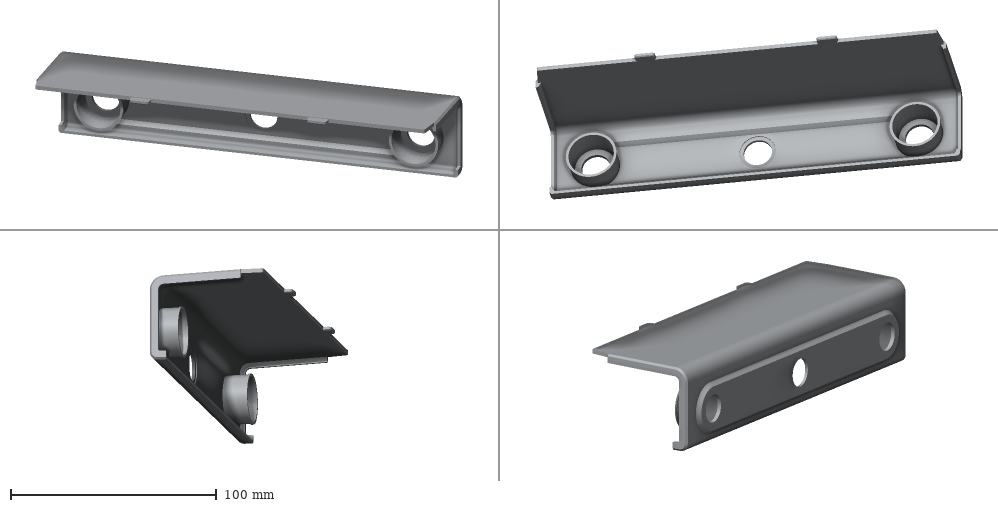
import cadquery as cq
import math

LENGTH = 202.81
OVERALL_DEPTH = 62.0
OVERALL_HEIGHT = 43.46
SHEET = 2.0

BOSS_HEIGHT = 2.0
WALL_BACK = -BOSS_HEIGHT
FLANGE_SLOPE = math.tan(math.radians(2))
TOP_BEND_RADIUS = 7.0
BOTTOM_BEND_RADIUS = 4.0
SMALLEST_INNER_RADIUS = 0.5

LIP_FRONT = -10.2
LIP_SLOPE = math.tan(math.radians(6))
RIM_FRONT = -47.2
RIM_WIDTH = 2.7
RIM_THICKNESS = 4.4
RIM_BEVEL_WIDTH = 1.2
RIM_BEVEL_DEPTH = 1.9
END_CHAMFER = 1.0

TIP_FRONT = -58.0
TIP_BACK_INSET = 1.2
TIP_FRONT_INSET = 2.6
TIP_CORNER_RADIUS = 1.0

TAB_SPACING = 90.0
TAB_WIDTH = 10.0
TAB_ROOT_OVERLAP = 1.0
TAB_CORNER_RADIUS = 1.5
TAB_BOTTOM_CHAMFER = 0.5
TAB_STEP = 0.3

HOLE_Z = 17.6
HOLE_RADIUS = 7.0
CUP_SPACING = 160.0
BOSS_RADIUS = 13.0
EMBOSS_ANGLE = 45.0
CUP_RADIUS = 12.0
CUP_MOUTH_RADIUS = 11.2
CUP_FRONT = -14.3
CUP_ROOT = -1.5
CUP_LIP_RADIUS = 12.5
CUP_LIP_DEPTH = 1.0
COUNTERBORE_RADIUS = 9.0
COUNTERBORE_DEPTH = 0.5

TIP_BACK_WIDTH = LENGTH - 2 * TIP_BACK_INSET
TIP_FRONT_WIDTH = LENGTH - 2 * TIP_FRONT_INSET
VERTICAL_PER_THICKNESS = math.sqrt(1 + FLANGE_SLOPE**2)
FLANGE_DROP = SHEET * VERTICAL_PER_THICKNESS
FAR_FRONT = -1.2 * OVERALL_DEPTH
POCKET_RADIUS = BOSS_RADIUS - SHEET * math.tan(math.radians(EMBOSS_ANGLE / 2))
POCKET_FLOOR_RADIUS = POCKET_RADIUS - BOSS_HEIGHT * math.tan(math.radians(EMBOSS_ANGLE))


def flange_top(y):
    """Height of the sloping top surface at Y = y."""
    return OVERALL_HEIGHT - (y - TIP_FRONT) * FLANGE_SLOPE


def bent_block(depth, lip_slope, width):
    """Solid bounded by the bent sheet's outer surface moved inward by `depth`, open to the front."""
    back = WALL_BACK - depth
    drop = depth * VERTICAL_PER_THICKNESS
    outline = [
        (back, depth),
        (back, flange_top(back) - drop),
        (FAR_FRONT, flange_top(FAR_FRONT) - drop),
        (FAR_FRONT, depth + (FAR_FRONT - back) * lip_slope),
    ]
    block = cq.Workplane("YZ").polyline(outline).close().extrude(width / 2, both=True)
    block = block.edges("|X and >Y").edges(">Z").fillet(TOP_BEND_RADIUS - depth)
    bottom_radius = max(BOTTOM_BEND_RADIUS - depth, SMALLEST_INNER_RADIUS)
    return block.edges("|X and >Y").edges("<Z").fillet(bottom_radius)


def front_cut(y, z_low, z_high):
    """Block removing everything ahead of Y = y between two heights."""
    return cq.Workplane("XY").box(
        LENGTH, y - FAR_FRONT, z_high - z_low, centered=(True, False, False)
    ).translate((0, FAR_FRONT, z_low))


def bracket():
    """Bent sheet with a lip below, a sloping flange above and thickened rims at both ends."""
    block = bent_block(0, 0, LENGTH).faces("<X or >X").chamfer(END_CHAMFER)
    block = block.cut(bent_block(RIM_THICKNESS, LIP_SLOPE, LENGTH))
    recess = bent_block(SHEET, LIP_SLOPE, LENGTH - 2 * (RIM_WIDTH - RIM_BEVEL_WIDTH))
    block = block.cut(recess.faces("<X or >X").chamfer(RIM_BEVEL_WIDTH, RIM_BEVEL_DEPTH))
    middle = OVERALL_HEIGHT / 2
    block = block.cut(front_cut(LIP_FRONT, -OVERALL_HEIGHT, middle))
    return block.cut(front_cut(RIM_FRONT, middle, 2 * OVERALL_HEIGHT))


def flange_slab():
    """Full-length slab of sheet thickness continuing the sloping flange ahead of the rims."""
    outline = [
        (RIM_FRONT, flange_top(RIM_FRONT)),
        (TIP_FRONT, OVERALL_HEIGHT),
        (TIP_FRONT, OVERALL_HEIGHT - FLANGE_DROP),
        (RIM_FRONT, flange_top(RIM_FRONT) - FLANGE_DROP),
    ]
    return cq.Workplane("YZ").polyline(outline).close().extrude(LENGTH / 2, both=True)


def flange_tip():
    """Tapered front part of the flange ahead of the rims."""
    outline = [
        (-TIP_BACK_WIDTH / 2, RIM_FRONT),
        (TIP_BACK_WIDTH / 2, RIM_FRONT),
        (TIP_FRONT_WIDTH / 2, TIP_FRONT),
        (-TIP_FRONT_WIDTH / 2, TIP_FRONT),
    ]
    plan = cq.Workplane("XY").polyline(outline).close().extrude(2 * OVERALL_HEIGHT)
    plan = plan.edges("|Z and <Y").fillet(TIP_CORNER_RADIUS)
    return plan.intersect(flange_slab())


def tab(x):
    """Level tab on the front edge of the flange, with rounded corners and a chamfered underside."""
    root = TIP_FRONT + TAB_ROOT_OVERLAP
    bottom = OVERALL_HEIGHT - FLANGE_DROP
    block = cq.Workplane("XY").box(
        TAB_WIDTH, root + OVERALL_DEPTH, FLANGE_DROP - TAB_STEP, centered=(True, False, False)
    ).translate((x, -OVERALL_DEPTH, bottom))
    return block.edges("|Z and <Y").fillet(TAB_CORNER_RADIUS).faces("<Z").chamfer(TAB_BOTTOM_CHAMFER)


def wall_plane(y, x=0.0):
    """Workplane across the wall at Y = y, centred on the hole line, facing the rear (+Y)."""
    return cq.Workplane("XZ", origin=(x, y, HOLE_Z)).transformed(rotate=(0, 180, 0))


def emboss(y, radius):
    """Long strip with round ends, narrowing toward the rear with 45-degree sides."""
    strip = wall_plane(y).slot2D(CUP_SPACING + 2 * radius, 2 * radius)
    return strip.extrude(BOSS_HEIGHT, taper=EMBOSS_ANGLE)


def cup(x):
    """Round collar standing on the wall toward the front, with a small lip at its mouth."""
    collar = wall_plane(CUP_FRONT, x).circle(CUP_RADIUS).extrude(CUP_ROOT - CUP_FRONT)
    return collar.union(wall_plane(CUP_FRONT, x).circle(CUP_LIP_RADIUS).extrude(CUP_LIP_DEPTH))


def cup_bore(x):
    """Inside of a collar, narrowing from its mouth to the edge of the embossed floor."""
    depth = -SHEET - CUP_FRONT
    draft = math.degrees(math.atan((CUP_MOUTH_RADIUS - POCKET_FLOOR_RADIUS) / depth))
    return wall_plane(CUP_FRONT, x).circle(CUP_MOUTH_RADIUS).extrude(depth, taper=draft)


def hole(x):
    """Through hole in the embossed floor."""
    return wall_plane(-SHEET - BOSS_HEIGHT, x).circle(HOLE_RADIUS).extrude(SHEET + BOSS_HEIGHT)


result = bracket().union(flange_tip())
for tab_x in (-TAB_SPACING / 2, TAB_SPACING / 2):
    result = result.union(tab(tab_x))
result = result.union(emboss(WALL_BACK, BOSS_RADIUS))
result = result.cut(emboss(WALL_BACK - SHEET, POCKET_RADIUS))
for cup_x in (-CUP_SPACING / 2, CUP_SPACING / 2):
    result = result.union(cup(cup_x)).cut(cup_bore(cup_x))
for hole_x in (-CUP_SPACING / 2, 0, CUP_SPACING / 2):
    result = result.cut(hole(hole_x))
counterbore = wall_plane(-SHEET).circle(COUNTERBORE_RADIUS).extrude(COUNTERBORE_DEPTH)
result = result.cut(counterbore)